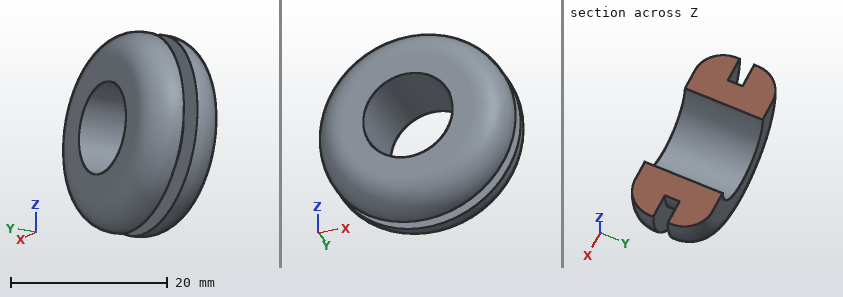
import cadquery as cq

outer_diameter = 26.0
total_width = 11.0
bore_diameter = 12.0
groove_diameter = 19.0
groove_width = 2.0
rim_radius = 4.0


def cylinder_along_y(diameter, width):
    """Cylinder on the Y axis, centred on the XZ plane."""
    front_face = cq.Workplane("XZ", origin=(0, -width / 2, 0))
    return front_face.circle(diameter / 2).extrude(-width)


body = cylinder_along_y(outer_diameter, total_width)
body = body.faces("<Y or >Y").edges().fillet(rim_radius)

groove = cylinder_along_y(outer_diameter, groove_width).cut(
    cylinder_along_y(groove_diameter, groove_width)
)

bore = cylinder_along_y(bore_diameter, total_width)

result = body.cut(groove).cut(bore)